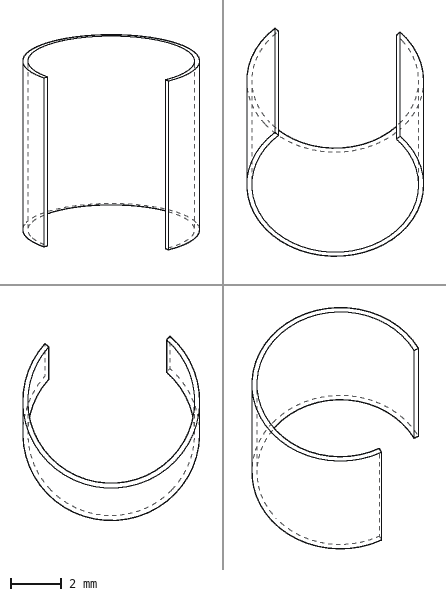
import cadquery as cq

outer_diameter = 7.0
height = 7.0
wall = 0.2
sweep_angle = 270.0

outer_radius = outer_diameter / 2
inner_radius = outer_radius - wall

result = (
    cq.Workplane("XZ")
    .moveTo(inner_radius, 0)
    .lineTo(outer_radius, 0)
    .lineTo(outer_radius, height)
    .lineTo(inner_radius, height)
    .close()
    .revolve(sweep_angle, (0, 0), (0, 1))
)